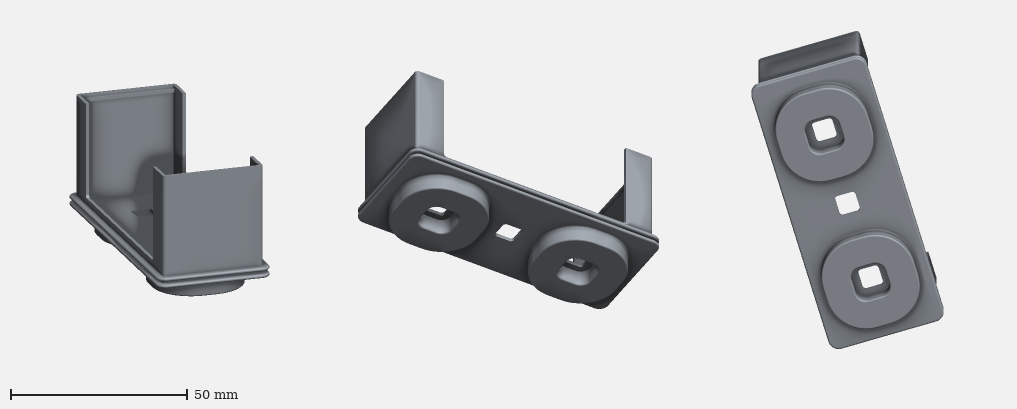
import cadquery as cq


LENGTH = 81.5
WIDTH = 34.0
HEIGHT = 38.0

WALL = 1.0
CORNER_RADIUS = 1.0
FOOT_HEIGHT = 5.0
FLOOR_THICKNESS = 1.1
BODY_LENGTH = 77.5
FLANGE_OVERHANG = (LENGTH - BODY_LENGTH) / 2
BODY_WIDTH = WIDTH - 2 * FLANGE_OVERHANG
INNER_LENGTH = BODY_LENGTH - 2 * WALL
INNER_WIDTH = BODY_WIDTH - 2 * WALL
FLOOR_TOP = FOOT_HEIGHT + FLOOR_THICKNESS

FLANGE_THICKNESS = 1.1
FLANGE_GAP = 1.0
FLANGE_ROOT = 0.5
FLANGE_EDGE_RADIUS = FLANGE_THICKNESS / 2

OPENING_LENGTH = 59.5
OPENING_DEPTH = 28.0
OPENING_RADIUS = 1.0

RIDGE_SIZE = 1.0
RIDGE_DROP = 1.0

FOOT_SPACING = 45.5
FOOT_SIZE = 27.0
FOOT_FLAT = 4.0
FOOT_RADIUS = (FOOT_SIZE - FOOT_FLAT) / 2
FOOT_EDGE_RADIUS = 0.5
FOOT_ROOT_RADIUS = 0.5
POCKET_SIZE = 10.0
POCKET_RADIUS = 3.0
POCKET_EDGE_RADIUS = 0.5

HOLE_SIZE = 6.0
HOLE_RADIUS = 1.0


def rounded_block(length, width, height, radius, bottom):
    """Block centred on the Z axis with rounded vertical corners."""
    block = cq.Workplane("XY").workplane(offset=bottom).rect(length, width).extrude(height)
    return block.edges("|Z").fillet(radius)


def make_tray():
    """Open-topped box that stands on the feet."""
    body_height = HEIGHT - FOOT_HEIGHT
    body = rounded_block(BODY_LENGTH, BODY_WIDTH, body_height, CORNER_RADIUS, FOOT_HEIGHT)
    cavity = (
        cq.Workplane("XY").workplane(offset=FLOOR_TOP)
        .rect(INNER_LENGTH, INNER_WIDTH).extrude(HEIGHT - FLOOR_TOP)
    )
    return body.cut(cavity)


def make_flange(bottom):
    """Flange with a fully rounded rim, its section swept round the body outline."""
    outline = cq.Wire.makePolygon(
        [
            cq.Vector(BODY_LENGTH / 2, -BODY_WIDTH / 2, bottom),
            cq.Vector(BODY_LENGTH / 2, BODY_WIDTH / 2, bottom),
            cq.Vector(-BODY_LENGTH / 2, BODY_WIDTH / 2, bottom),
            cq.Vector(-BODY_LENGTH / 2, -BODY_WIDTH / 2, bottom),
        ],
        close=True,
    )
    outline = outline.fillet2D(CORNER_RADIUS, outline.Vertices())
    rim_start = FLANGE_OVERHANG - FLANGE_EDGE_RADIUS
    section = (
        cq.Workplane("XZ", origin=(BODY_LENGTH / 2, 0, bottom))
        .moveTo(-FLANGE_ROOT, 0)
        .lineTo(rim_start, 0)
        .threePointArc((FLANGE_OVERHANG, FLANGE_THICKNESS / 2), (rim_start, FLANGE_THICKNESS))
        .lineTo(-FLANGE_ROOT, FLANGE_THICKNESS)
        .close()
    )
    return section.sweep(cq.Workplane(outline))


def make_wall_opening():
    """Cutter for both long walls, rounded at its two lower corners."""
    opening = (
        cq.Workplane("XY").workplane(offset=HEIGHT - OPENING_DEPTH)
        .rect(OPENING_LENGTH, WIDTH).extrude(OPENING_DEPTH)
    )
    return opening.edges("|Y and <Z").fillet(OPENING_RADIUS)


def make_ridge(side):
    """Snap ridge on the end wall at the +X (side = 1) or -X (side = -1) end."""
    center_x = side * (INNER_LENGTH - RIDGE_SIZE) / 2
    return (
        cq.Workplane("XY").workplane(offset=HEIGHT - RIDGE_DROP - RIDGE_SIZE)
        .center(center_x, 0).rect(RIDGE_SIZE, INNER_WIDTH).extrude(RIDGE_SIZE)
    )


def make_foot():
    """Rounded square foot with a softened lower edge."""
    foot = rounded_block(FOOT_SIZE, FOOT_SIZE, FOOT_HEIGHT, FOOT_RADIUS, 0)
    return foot.faces("<Z").edges().fillet(FOOT_EDGE_RADIUS)


def blend_feet(part):
    """Fillet the feet into the flat base; the box holds only their root edges."""
    root_box = cq.selectors.BoxSelector(
        (-INNER_LENGTH / 2, -INNER_WIDTH / 2, FOOT_HEIGHT - FOOT_ROOT_RADIUS),
        (INNER_LENGTH / 2, INNER_WIDTH / 2, FOOT_HEIGHT + FOOT_ROOT_RADIUS),
    )
    root_edges = part.edges("#Z").edges(root_box)
    return root_edges.fillet(FOOT_ROOT_RADIUS)


def cut_pocket(part, offset):
    """Hollow one foot up to the floor and round the rim of its mouth."""
    pocket = rounded_block(POCKET_SIZE, POCKET_SIZE, FOOT_HEIGHT, POCKET_RADIUS, 0)
    part = part.cut(pocket.translate((offset, 0, 0)))
    reach = POCKET_SIZE / 2 + POCKET_EDGE_RADIUS
    mouth_box = cq.selectors.BoxSelector(
        (offset - reach, -reach, -POCKET_EDGE_RADIUS / 2),
        (offset + reach, reach, POCKET_EDGE_RADIUS / 2),
    )
    return part.edges(mouth_box).fillet(POCKET_EDGE_RADIUS)


result = make_tray().cut(make_wall_opening())
foot_offsets = (-FOOT_SPACING / 2, FOOT_SPACING / 2)
for offset in foot_offsets:
    result = result.union(make_foot().translate((offset, 0, 0)))
result = blend_feet(result)

for level in range(2):
    result = result.union(make_flange(FOOT_HEIGHT + level * (FLANGE_THICKNESS + FLANGE_GAP)))
for side in (-1, 1):
    result = result.union(make_ridge(side))

for offset in foot_offsets:
    result = cut_pocket(result, offset)

hole = rounded_block(HOLE_SIZE, HOLE_SIZE, FLOOR_TOP, HOLE_RADIUS, 0)
for offset in (0, *foot_offsets):
    result = result.cut(hole.translate((offset, 0, 0)))